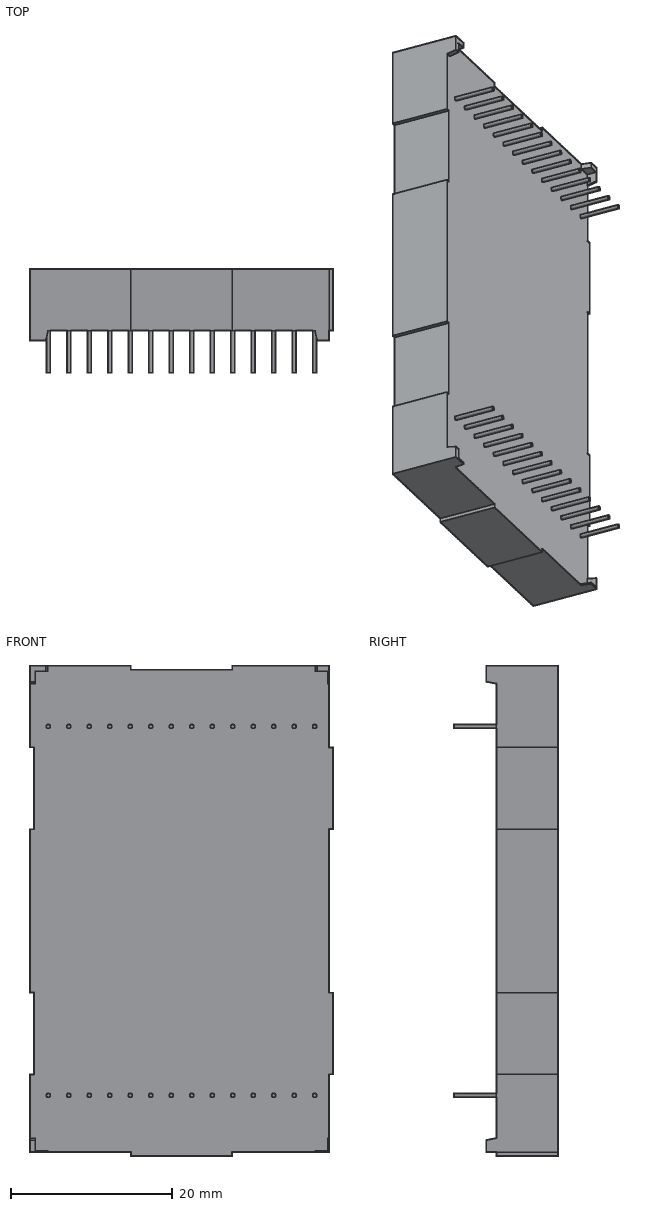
import cadquery as cq

overall_width = 37.6
overall_depth = 12.9
overall_height = 60.8
body_depth = 7.65

edge_step = 0.5
core_width = overall_width - 2 * edge_step
core_height = overall_height - 2 * edge_step
end_section_width = overall_width / 3
side_section_height = overall_height / 6

foot_height = 1.25
foot_wall = 0.2
foot_reach = 1.75
foot_end_draft = 0.25

pins_per_row = 14
pin_pitch = 2.54
row_spacing_pitches = 18
pin_row_spacing = row_spacing_pitches * pin_pitch
pin_diameter = 0.5
pin_length = overall_depth - body_depth

right = overall_width / 2
left = -right
top = overall_height / 2
bottom = -top
core_right = core_width / 2
core_top = core_height / 2


def box_between(x_range, y_range, z_range):
    """Axis-aligned box spanning the given (low, high) ranges."""
    (x0, x1), (y0, y1), (z0, z1) = x_range, y_range, z_range
    return cq.Workplane("XY").box(x1 - x0, y1 - y0, z1 - z0, centered=False).translate((x0, y0, z0))


def edge_tabs(y_range):
    """Raised sections around the core: three left, two right, two top, one bottom."""
    tabs = []
    for first, last in ((0, 1), (2, 4), (5, 6)):
        z_start = max(bottom + first * side_section_height, -core_top)
        z_end = bottom + last * side_section_height
        tabs.append(box_between((left, -core_right), y_range, (z_start, z_end)))
    for first in (1, 4):
        z_start = bottom + first * side_section_height
        tabs.append(box_between((core_right, right), y_range, (z_start, z_start + side_section_height)))
    left_third = (left, left + end_section_width)
    right_third = (left + 2 * end_section_width, core_right)
    for x_range in (left_third, right_third):
        tabs.append(box_between(x_range, y_range, (core_top, top)))
    middle = (left + end_section_width, left + 2 * end_section_width)
    tabs.append(box_between(middle, y_range, (bottom, -core_top)))
    return tabs


def make_body():
    """Rectangular core with its interlocking edge sections."""
    y_range = (0, body_depth)
    body = box_between((-core_right, core_right), y_range, (-core_top, core_top))
    for tab in edge_tabs(y_range):
        body = body.union(tab)
    return body


def make_foot(side, end, outer_x, outer_z):
    """L-shaped corner foot; side and end are the signs of its corner in X and Z."""
    inner_x = side * (core_right - foot_wall)
    inner_z = end * (core_top - foot_wall)
    root_x = side * (core_right - foot_reach)
    root_z = end * (core_top - foot_reach)
    tip_x = root_x + side * foot_end_draft
    tip_z = root_z + end * foot_end_draft

    wall_along_x = (
        cq.Workplane("XY", origin=(0, 0, inner_z))
        .polyline([(outer_x, 0), (root_x, 0), (tip_x, -foot_height), (outer_x, -foot_height)])
        .close()
        .extrude(outer_z - inner_z)
    )
    wall_along_z = (
        cq.Workplane("YZ", origin=(inner_x, 0, 0))
        .polyline([(0, outer_z), (0, root_z), (-foot_height, tip_z), (-foot_height, outer_z)])
        .close()
        .extrude(outer_x - inner_x)
    )
    return wall_along_x.union(wall_along_z)


def make_pins():
    """Both rows of pins, projecting from the pin face toward -Y."""
    return (
        cq.Workplane("XZ")
        .rarray(pin_pitch, pin_row_spacing, pins_per_row, 2)
        .circle(pin_diameter / 2)
        .extrude(pin_length)
    )


result = make_body()
for side, outer_x in ((-1, left), (1, core_right)):
    for end, outer_z in ((-1, -core_top), (1, top)):
        result = result.union(make_foot(side, end, outer_x, outer_z))
result = result.union(make_pins())